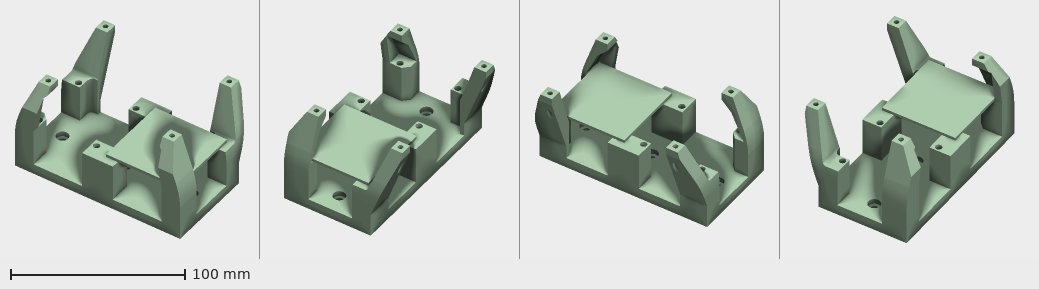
import cadquery as cq
LENGTH = 115.0
DEPTH = 60.0
BASE_HEIGHT = 7.0
HALF_LENGTH = LENGTH / 2
HALF_DEPTH = DEPTH / 2

HEIGHT = 62.0
POST_TOP = 32.0

PLATE_SIDE = 50.0
PLATE_THICKNESS = 2.0
PLATE_CENTER_X = 27.5
PLATE_HOLE_SPACING = 40.0

PAD = 7.9
PAD_INNER_X = 39.1
PAD_SIDE_HEIGHT = 5.0
PAD_BOTTOM = HEIGHT - PAD_SIDE_HEIGHT
LEG_HOLE_DIAMETER = 3.3
LEG_HOLE_X = PAD_INNER_X + PAD / 2

OUTER_BEND_Z = POST_TOP
OUTER_BEND_RADIUS = 50.0

FRONT_LEG_BACK_Y = -13.1
FRONT_SLOPE_START_Z = 46.3
POST_INNER_X = HALF_LENGTH - 13.0
WEB_STEP = 1.7
WEB_BACK_Y = -PLATE_SIDE / 2
POCKET_TOP_X = 46.0
POCKET_BOTTOM_X = 54.3
FRONT_LEG_CHAMFER = 3.9

BACK_LEG_BACK_Y = 45.0
BACK_LEG_INNER_Y = 27.1
BACK_LEG_LEAN_START_Z = 15.8
BACK_LEG_FILLET = 2.5
POST_CORNER_FILLET = 3.0

BACK_POST_FRONT_Y = 17.0
FRONT_POST_BACK_Y = -15.8
CENTER_POST_WIDTH = 21.3
POST_HOLE_DIAMETER = 4.3
POST_HOLE_DEPTH = 9.2

BASE_HOLE_DIAMETER = 4.3
COUNTERBORE_DIAMETER = 8.0
COUNTERBORE_DEPTH = 3.5
BASE_HOLE_PITCH = 45.0


def box(x_min, x_max, y_min, y_max, z_min, z_max):
    """Solid block between the given limits."""
    return cq.Workplane("XY").box(
        x_max - x_min, y_max - y_min, z_max - z_min, centered=False
    ).translate((x_min, y_min, z_min))


def pad_hole(y):
    """Vertical hole from the pad of a right-hand leg down past its underside."""
    return (
        cq.Workplane("XY", origin=(LEG_HOLE_X, y, POST_TOP))
        .circle(LEG_HOLE_DIAMETER / 2)
        .extrude(HEIGHT - POST_TOP)
    )


def leg_block(inner_points, y_min, y_max):
    """Right-hand leg block from the XZ outline of its inner side, listed from the pad down to z = 0."""
    outer_points = [(HALF_LENGTH, 0), (HALF_LENGTH, OUTER_BEND_Z), (PAD_INNER_X + PAD, HEIGHT)]
    block = cq.Workplane("XZ").polyline(outer_points + inner_points).close().extrude(y_min - y_max)
    bend = cq.selectors.NearestToPointSelector((HALF_LENGTH, (y_max - y_min) / 2, OUTER_BEND_Z))
    return block.edges(bend).fillet(OUTER_BEND_RADIUS).translate((0, y_min, 0))


def front_leg():
    """Right-hand front leg: front web, pocketed part behind it, sloped front and pad hole."""
    web = leg_block(
        [
            (PAD_INNER_X, HEIGHT),
            (PAD_INNER_X, PAD_BOTTOM),
            (PAD_INNER_X + WEB_STEP, PAD_BOTTOM - WEB_STEP),
            (POST_INNER_X, POST_TOP),
            (POST_INNER_X, 0),
        ],
        -HALF_DEPTH,
        WEB_BACK_Y,
    )
    pocketed_part = leg_block(
        [
            (PAD_INNER_X, HEIGHT),
            (PAD_INNER_X, PAD_BOTTOM),
            (POCKET_TOP_X, PAD_BOTTOM - (POCKET_TOP_X - PAD_INNER_X)),
            (POCKET_BOTTOM_X, POST_TOP),
            (POST_INNER_X, POST_TOP),
            (POST_INNER_X, 0),
        ],
        WEB_BACK_Y,
        FRONT_LEG_BACK_Y,
    )
    inner_back_edge = cq.selectors.NearestToPointSelector((POST_INNER_X, FRONT_LEG_BACK_Y, POST_TOP / 2))
    pocketed_part = pocketed_part.edges(inner_back_edge).chamfer(FRONT_LEG_CHAMFER)
    side = (
        cq.Workplane("YZ")
        .moveTo(-HALF_DEPTH, 0)
        .lineTo(-HALF_DEPTH, FRONT_SLOPE_START_Z)
        .lineTo(FRONT_LEG_BACK_Y - PAD, HEIGHT)
        .lineTo(FRONT_LEG_BACK_Y, HEIGHT)
        .lineTo(FRONT_LEG_BACK_Y, 0)
        .close()
        .extrude(HALF_LENGTH)
    )
    return web.union(pocketed_part).intersect(side).cut(pad_hole(FRONT_LEG_BACK_Y - PAD / 2))


def back_leg():
    """Right-hand back leg and the post in front of it, which share one side outline."""
    leg = leg_block([(PAD_INNER_X, HEIGHT), (PAD_INNER_X, 0)], BACK_POST_FRONT_Y, BACK_LEG_BACK_Y)
    side = (
        cq.Workplane("YZ")
        .moveTo(BACK_POST_FRONT_Y, 0)
        .lineTo(BACK_POST_FRONT_Y, POST_TOP)
        .lineTo(BACK_LEG_INNER_Y, POST_TOP)
        .lineTo(BACK_LEG_BACK_Y - PAD, HEIGHT)
        .lineTo(BACK_LEG_BACK_Y, HEIGHT)
        .lineTo(BACK_LEG_BACK_Y, PAD_BOTTOM)
        .lineTo(HALF_DEPTH, BACK_LEG_LEAN_START_Z)
        .lineTo(HALF_DEPTH, 0)
        .close()
        .extrude(HALF_LENGTH)
        .edges(cq.selectors.NearestToPointSelector((HALF_LENGTH / 2, BACK_LEG_INNER_Y, POST_TOP)))
        .fillet(BACK_LEG_FILLET)
    )
    inner_corner = (
        box(0, POST_INNER_X, 0, BACK_LEG_INNER_Y, 0, HEIGHT)
        .edges("|Z and >X and >Y")
        .fillet(POST_CORNER_FILLET)
    )
    return leg.intersect(side).cut(inner_corner).cut(pad_hole(BACK_LEG_BACK_Y - PAD / 2))


def center_posts():
    """Posts in the middle of the front and back edges of the base."""
    half_width = CENTER_POST_WIDTH / 2
    front = box(-half_width, half_width, -HALF_DEPTH, FRONT_POST_BACK_Y, 0, POST_TOP)
    back = box(-half_width, half_width, BACK_POST_FRONT_Y, HALF_DEPTH, 0, POST_TOP)
    return front.union(back)


def post_holes():
    """Blind holes in the posts and ledges, under the corners of a plate on either side."""
    half_spacing = PLATE_HOLE_SPACING / 2
    places = [
        (side * PLATE_CENTER_X + dx, dy)
        for side in (-1, 1)
        for dx in (-half_spacing, half_spacing)
        for dy in (-half_spacing, half_spacing)
    ]
    return (
        cq.Workplane("XY", origin=(0, 0, POST_TOP))
        .pushPoints(places)
        .circle(POST_HOLE_DIAMETER / 2)
        .extrude(-POST_HOLE_DEPTH)
    )


def base_holes():
    """Row of holes through the base, counterbored from above."""
    places = [(-BASE_HOLE_PITCH, 0), (0, 0), (BASE_HOLE_PITCH, 0)]
    row = cq.Workplane("XY").pushPoints(places)
    through = row.circle(BASE_HOLE_DIAMETER / 2).extrude(BASE_HEIGHT)
    counterbores = row.circle(COUNTERBORE_DIAMETER / 2).extrude(COUNTERBORE_DEPTH)
    return through.union(counterbores.translate((0, 0, BASE_HEIGHT - COUNTERBORE_DEPTH)))


def make_plate():
    """Thin square plate lying on the posts, one corner in the pocket of a front leg."""
    return cq.Workplane("XY", origin=(PLATE_CENTER_X, 0, POST_TOP)).box(
        PLATE_SIDE, PLATE_SIDE, PLATE_THICKNESS, centered=(True, True, False)
    )


def make_frame():
    """Base, posts and four legs in one piece, with all their holes."""
    frame = box(-HALF_LENGTH, HALF_LENGTH, -HALF_DEPTH, HALF_DEPTH, 0, BASE_HEIGHT)
    frame = frame.union(center_posts())
    for leg in (front_leg(), back_leg()):
        frame = frame.union(leg).union(leg.mirror("YZ"))
    return frame.cut(post_holes()).cut(base_holes())


plate = make_plate()
frame = make_frame()
result = cq.Compound.makeCompound([frame.val(), plate.val()])